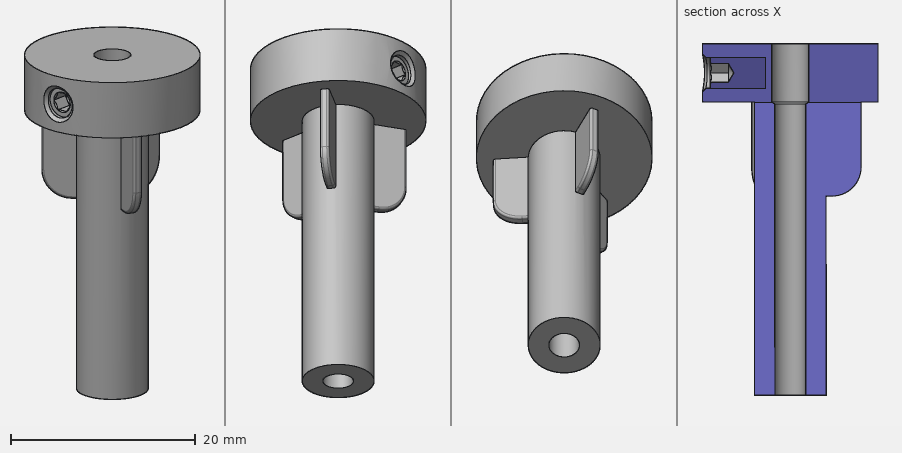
import cadquery as cq
import math

total_height = 38.1
disc_diameter = 19.05
disc_height = 6.32
disc_bottom = total_height - disc_height

shaft_diameter = 7.8
bore_diameter = 3.3
wide_bore_diameter = 4.0
drill_tip_angle = 120.0
bore_step = (wide_bore_diameter - bore_diameter) / 2
bore_taper = bore_step / math.tan(math.radians(drill_tip_angle / 2))

blade_count = 3
blade_first_angle = 90.0
blade_reach = 7.7
blade_thickness = 1.0
blade_height = 10.2
blade_corner_radius = 3.15
blade_edge_fillet = 0.248

screw_diameter = 3.3
screw_hole_chamfer = 0.4
screw_recess = 0.85
screw_length = 6.0
screw_height = disc_bottom + disc_height / 2
screw_face = -disc_diameter / 2 + screw_recess

socket_across_flats = 2.0
socket_corner_diameter = socket_across_flats / math.cos(math.radians(30))
socket_depth = 2.0
socket_tip_angle = 120.0
socket_tip_depth = socket_across_flats / 2 / math.tan(math.radians(socket_tip_angle / 2))
socket_chamfer = (socket_corner_diameter - socket_across_flats) / 2


def cone(start_diameter, end_diameter, length, start, direction):
    """Solid cone from its start circle along the given direction."""
    return cq.Workplane(
        cq.Solid.makeCone(start_diameter / 2, end_diameter / 2, length, start, direction)
    )


def plane_facing_inward(y):
    """XZ plane at the given Y on the screw axis, extruding toward +Y."""
    return cq.Workplane(cq.Plane((0, y, screw_height), xDir=(1, 0, 0), normal=(0, 1, 0)))


def make_blade(angle):
    """Flat blade with a rounded lower outer corner and softened outer edges."""
    blade = (
        cq.Workplane("XZ")
        .moveTo(0, disc_bottom)
        .lineTo(blade_reach, disc_bottom)
        .lineTo(blade_reach, disc_bottom - blade_height + blade_corner_radius)
        .radiusArc(
            (blade_reach - blade_corner_radius, disc_bottom - blade_height),
            blade_corner_radius,
        )
        .lineTo(0, disc_bottom - blade_height)
        .close()
        .extrude(blade_thickness / 2, both=True)
    )
    blade = blade.faces("|Y").edges("not(<X or >Z)").fillet(blade_edge_fillet)
    return blade.rotate((0, 0, 0), (0, 0, 1), angle)


def make_shaft():
    """Hollow shaft with its blades, ending at the underside of the disc."""
    shaft = cq.Workplane("XY").circle(shaft_diameter / 2).extrude(disc_bottom)
    for index in range(blade_count):
        shaft = shaft.union(make_blade(blade_first_angle + index * 360 / blade_count))
    bore = cq.Workplane("XY").circle(bore_diameter / 2).extrude(disc_bottom)
    lead_in = cone(
        wide_bore_diameter,
        bore_diameter,
        bore_taper,
        cq.Vector(0, 0, disc_bottom),
        cq.Vector(0, 0, -1),
    )
    return shaft.cut(bore).cut(lead_in)


def make_disc():
    """Disc with a through bore and a radial hole, chamfered at its rim, for the set screw."""
    disc = (
        cq.Workplane("XY", origin=(0, 0, disc_bottom))
        .circle(disc_diameter / 2)
        .circle(wide_bore_diameter / 2)
        .extrude(disc_height)
    )
    hole = (
        plane_facing_inward(-disc_diameter / 2)
        .circle(screw_diameter / 2)
        .extrude(screw_recess + screw_length)
    )
    hole_rim = cq.selectors.BoxSelector(
        (-screw_diameter, -disc_diameter, disc_bottom),
        (screw_diameter, screw_face, total_height),
    )
    return disc.cut(hole).edges(hole_rim).chamfer(screw_hole_chamfer)


def make_set_screw():
    """Headless screw with a chamfered hexagon socket ending in a cone."""
    screw = plane_facing_inward(screw_face).circle(screw_diameter / 2).extrude(screw_length)
    socket = plane_facing_inward(screw_face).polygon(6, socket_corner_diameter).extrude(socket_depth)
    tip = cone(
        socket_across_flats,
        0,
        socket_tip_depth,
        cq.Vector(0, screw_face + socket_depth, screw_height),
        cq.Vector(0, 1, 0),
    )
    chamfer = cone(
        socket_corner_diameter,
        socket_across_flats,
        socket_chamfer,
        cq.Vector(0, screw_face, screw_height),
        cq.Vector(0, 1, 0),
    )
    return screw.cut(socket).cut(tip).cut(chamfer)


shaft = make_shaft()
disc = make_disc()
set_screw = make_set_screw()

result = cq.Compound.makeCompound([shaft.val(), disc.val(), set_screw.val()])